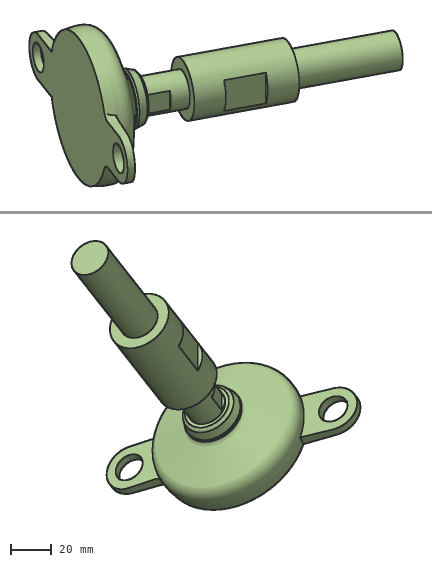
import cadquery as cq
import math

TOTAL_LENGTH = 166.5

FOOT_RADIUS = 40.0
UNDERSIDE_RADIUS = 39.1
SKIRT_HEIGHT = 5.7
RIM_TOP = 9.0
SHOULDER_RADIUS = 7.5
SHOULDER_SWEEP = math.radians(60.0)

CONE_TOP_RADIUS = 17.1
CONE_TOP = 23.0
NECK_RADIUS = 15.3
NECK_TOP = 24.6
GROOVE_RADIUS = 14.7
GROOVE_TOP = 25.3
COLLAR_BASE_RADIUS = 15.3
COLLAR_BASE = 26.3
COLLAR_TOP_RADIUS = 13.8
COLLAR_TOP = 31.0
COLLAR_FACE_RADIUS = 12.0
COLLAR_FACE = 32.5

LUG_HALF_WIDTH = 12.7
LUG_SPAN = 136.0
LUG_REACH = LUG_SPAN / 2
LUG_HOLE_DIAMETER = 15.0
LUG_HOLE_X = LUG_REACH - LUG_HALF_WIDTH
LUG_TIP_THICKNESS = 4.0
LUG_ROOT_FILLET = 5.7

STUD_DIAMETER = 20.0
STUD_FLAT_WIDTH = 17.0
STUD_FLAT_START = 33.1
STUD_FLAT_END = 44.8

SLEEVE_DIAMETER = 32.0
SLEEVE_START = 54.8
SLEEVE_LENGTH = 55.1
SLEEVE_FLAT_WIDTH = 27.0
SLEEVE_FLAT_LENGTH = 22.0
SLEEVE_FLAT_START = SLEEVE_START + (SLEEVE_LENGTH - SLEEVE_FLAT_LENGTH) / 2


def cylinder_along_y(diameter, start, end):
    """Cylinder on the Y axis between two axial positions."""
    return (
        cq.Workplane("XZ", origin=(0, start, 0))
        .circle(diameter / 2)
        .extrude(start - end)
    )


def cut_wrench_flats(body, diameter, flat_width, start, end):
    """Cut two parallel flats, facing -X and +X, into a round body."""
    depth = (diameter - flat_width) / 2
    for side in (-1, 1):
        cutter = cq.Workplane("XY").box(2 * depth, end - start, diameter)
        cutter_x = side * (flat_width / 2 + depth)
        body = body.cut(cutter.translate((cutter_x, (start + end) / 2, 0)))
    return body


def make_foot_disc():
    """Revolve the skirt, rim, rounded shoulder, cone, neck and collar."""
    arc_center_radius = FOOT_RADIUS - SHOULDER_RADIUS

    def shoulder_point(angle):
        radius = arc_center_radius + SHOULDER_RADIUS * math.cos(angle)
        return (radius, RIM_TOP + SHOULDER_RADIUS * math.sin(angle))

    return (
        cq.Workplane("XY")
        .lineTo(UNDERSIDE_RADIUS, 0)
        .lineTo(FOOT_RADIUS, SKIRT_HEIGHT)
        .lineTo(FOOT_RADIUS, RIM_TOP)
        .threePointArc(shoulder_point(SHOULDER_SWEEP / 2), shoulder_point(SHOULDER_SWEEP))
        .lineTo(CONE_TOP_RADIUS, CONE_TOP)
        .tangentArcPoint((NECK_RADIUS, NECK_TOP), relative=False)
        .lineTo(GROOVE_RADIUS, NECK_TOP)
        .lineTo(GROOVE_RADIUS, GROOVE_TOP)
        .lineTo(COLLAR_BASE_RADIUS, COLLAR_BASE)
        .lineTo(COLLAR_TOP_RADIUS, COLLAR_TOP)
        .lineTo(COLLAR_FACE_RADIUS, COLLAR_FACE)
        .lineTo(0, COLLAR_FACE)
        .close()
        .revolve(360, (0, 0, 0), (0, 1, 0))
    )


def root_fillet_points():
    """Start, middle and end (X, Z) of the +X lug's root fillet on the +Z side."""
    center_z = LUG_HALF_WIDTH + LUG_ROOT_FILLET
    center_distance = UNDERSIDE_RADIUS + LUG_ROOT_FILLET
    center_x = math.sqrt(center_distance**2 - center_z**2)
    disc_angle = math.atan2(center_z, center_x)
    middle_angle = (disc_angle + math.pi / 2) / 2
    on_disc = (UNDERSIDE_RADIUS * math.cos(disc_angle), UNDERSIDE_RADIUS * math.sin(disc_angle))
    middle = (
        center_x - LUG_ROOT_FILLET * math.cos(middle_angle),
        center_z - LUG_ROOT_FILLET * math.sin(middle_angle),
    )
    return on_disc, middle, (center_x, LUG_HALF_WIDTH)


def make_lugs():
    """Both round-ended lugs, thinning from the rim outward, with their holes."""
    lugs = (
        cq.Workplane("XZ")
        .slot2D(LUG_SPAN, 2 * LUG_HALF_WIDTH)
        .extrude(-SKIRT_HEIGHT)
    )
    on_disc, middle, on_lug = root_fillet_points()
    for side in (-1, 1):
        root = (
            cq.Workplane("XZ")
            .lineTo(on_disc[0], side * on_disc[1])
            .threePointArc((middle[0], side * middle[1]), (on_lug[0], side * on_lug[1]))
            .close()
            .extrude(-SKIRT_HEIGHT)
        )
        lugs = lugs.union(root)
    taper = (
        cq.Workplane("XY")
        .polyline([
            (-LUG_REACH, 0),
            (LUG_REACH, 0),
            (LUG_REACH, LUG_TIP_THICKNESS),
            (FOOT_RADIUS, SKIRT_HEIGHT),
            (-FOOT_RADIUS, SKIRT_HEIGHT),
            (-LUG_REACH, LUG_TIP_THICKNESS),
        ])
        .close()
        .extrude(FOOT_RADIUS, both=True)
    )
    holes = (
        cq.Workplane("XZ")
        .pushPoints([(-LUG_HOLE_X, 0), (LUG_HOLE_X, 0)])
        .circle(LUG_HOLE_DIAMETER / 2)
        .extrude(-SKIRT_HEIGHT)
    )
    return lugs.intersect(taper).cut(holes)


def make_foot():
    """Foot with its lugs and the stud as one solid."""
    stud = cylinder_along_y(STUD_DIAMETER, COLLAR_BASE, TOTAL_LENGTH)
    stud = cut_wrench_flats(stud, STUD_DIAMETER, STUD_FLAT_WIDTH, STUD_FLAT_START, STUD_FLAT_END)
    return make_foot_disc().union(make_lugs()).union(stud)


def make_sleeve():
    """Sleeve with a through bore that fits the stud and two wrench flats."""
    sleeve_end = SLEEVE_START + SLEEVE_LENGTH
    flat_end = SLEEVE_FLAT_START + SLEEVE_FLAT_LENGTH
    sleeve = cylinder_along_y(SLEEVE_DIAMETER, SLEEVE_START, sleeve_end)
    sleeve = cut_wrench_flats(
        sleeve, SLEEVE_DIAMETER, SLEEVE_FLAT_WIDTH, SLEEVE_FLAT_START, flat_end
    )
    return sleeve.cut(cylinder_along_y(STUD_DIAMETER, SLEEVE_START, sleeve_end))


foot = make_foot()
sleeve = make_sleeve()
result = cq.Compound.makeCompound([foot.val(), sleeve.val()])